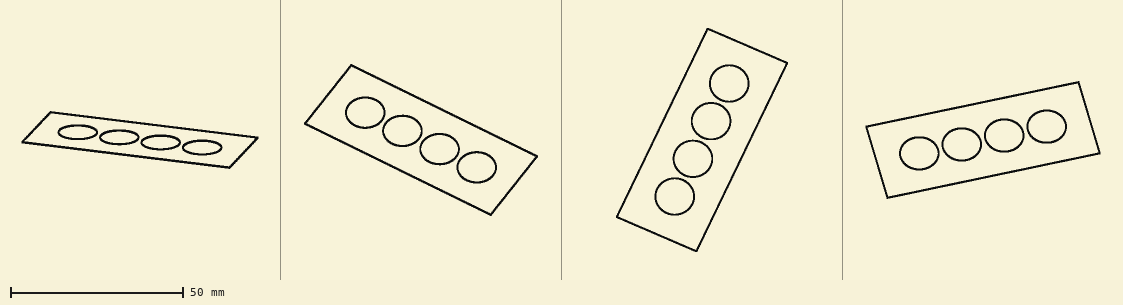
import cadquery as cq

length = 63.5
width = 25.4
thickness = 0.25

hole_count = 4
hole_diameter = 11.2
hole_pitch = length / (hole_count + 1)

plate = cq.Workplane("XY").box(length, width, thickness)

result = (
    plate.faces(">Z")
    .workplane()
    .rarray(hole_pitch, width, hole_count, 1)
    .hole(hole_diameter)
)